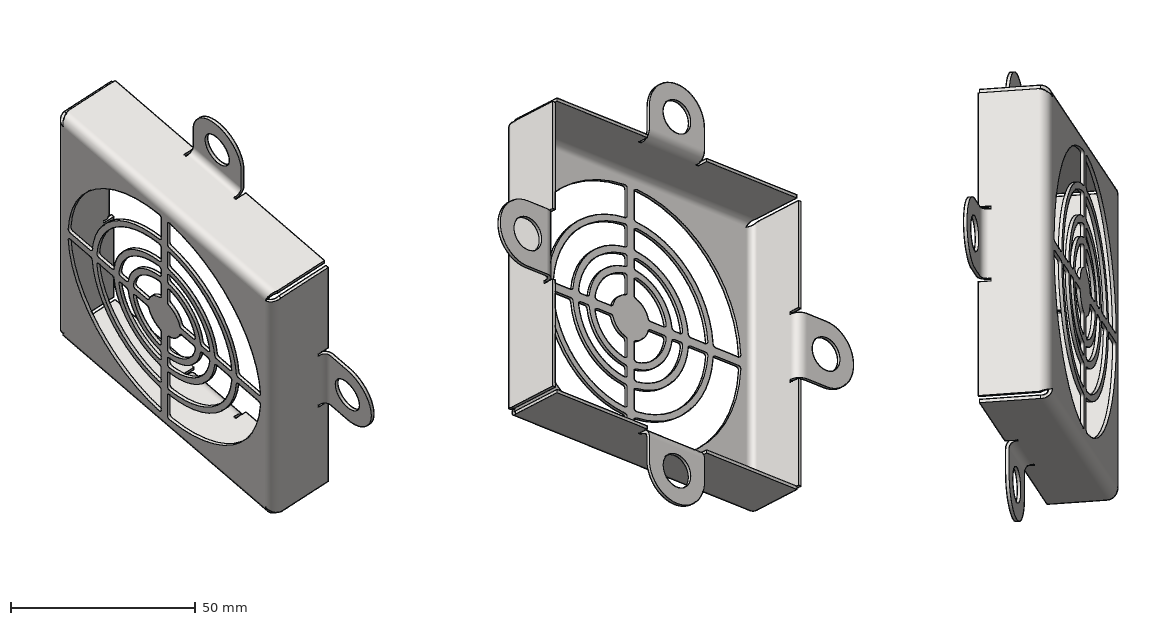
import cadquery as cq
import math

span = 128.0
box_width = 90.0
depth = 20.0

sheet = 1.0
bend_inner = 2 * sheet
bend_outer = bend_inner + sheet

end_inset = 1.5
miter_clearance = 0.05

tab_width = 20.0
hole_diameter = 10.0
relief_width = 0.8
relief_overrun = 0.5

openings = [(6.7, 13.0), (15.1, 19.0), (21.0, 28.0), (30.0, 40.0)]
spoke_width = 2.5
opening_fillet = 0.9

diagonal = math.sqrt(0.5)
half_box = box_width / 2
half_face = half_box - bend_outer
tab_radius = tab_width / 2
hole_offset = span / 2 - tab_radius
cutter_size = 2 * bend_outer
relief_depth = bend_outer + relief_overrun


def face_plate():
    """Flat front face in the XZ plane, front surface at Y = 0."""
    return cq.Workplane("XY").box(2 * half_face, sheet, 2 * half_face).translate((0, sheet / 2, 0))


def grille_opening(inner, outer):
    """Quarter-ring opening in the +X +Z quadrant, bounded by two spokes."""
    ring = cq.Workplane("XZ").circle(outer).circle(inner).extrude(-sheet)
    quadrant = cq.Workplane("XY").box(span, span, span, centered=(False, True, False))
    quadrant = quadrant.translate((spoke_width / 2, 0, spoke_width / 2))
    return ring.intersect(quadrant).edges("|Y").fillet(opening_fillet)


def wall_with_bend():
    """Top side wall, joined to the face by a quarter-round bend."""
    half_length = half_box - end_inset
    bend_y = bend_outer
    bend_z = half_face
    profile = (
        cq.Workplane("YZ")
        .moveTo(0, bend_z)
        .threePointArc((bend_y - bend_outer * diagonal, bend_z + bend_outer * diagonal), (bend_y, half_box))
        .lineTo(depth, half_box)
        .lineTo(depth, half_box - sheet)
        .lineTo(bend_y, half_box - sheet)
        .threePointArc((bend_y - bend_inner * diagonal, bend_z + bend_inner * diagonal), (sheet, bend_z))
        .close()
    )
    wall = profile.extrude(half_length, both=True)
    miter = bend_miter(half_length)
    return wall.cut(miter).cut(miter.mirror("YZ"))


def bend_miter(half_length):
    """Twisted cutter that tapers the +X bend end evenly from the wall end to the face corner.

    A quadrant around the bend axis turns by 90 degrees as it moves outwards,
    so the cut stays square to the sheet all the way round the bend.
    """
    start = half_face - miter_clearance
    return (
        cq.Workplane("YZ", origin=(start, bend_outer, half_face))
        .rect(-cutter_size, -cutter_size, centered=False)
        .twistExtrude(half_length - start, -90)
    )


def tab():
    """Top mounting tab, bent outwards flush with the rear edge of the wall."""
    bend_y = depth - bend_outer
    bend_z = half_box + bend_inner
    strip = (
        cq.Workplane("YZ")
        .moveTo(depth - relief_depth, half_box - sheet)
        .lineTo(bend_y, half_box - sheet)
        .threePointArc((bend_y + bend_outer * diagonal, bend_z - bend_outer * diagonal), (depth, bend_z))
        .lineTo(depth, hole_offset)
        .lineTo(depth - sheet, hole_offset)
        .lineTo(depth - sheet, bend_z)
        .threePointArc((bend_y + bend_inner * diagonal, bend_z - bend_inner * diagonal), (bend_y, half_box))
        .lineTo(depth - relief_depth, half_box)
        .close()
        .extrude(tab_radius, both=True)
    )
    rear = cq.Workplane("XZ", origin=(0, depth, 0)).center(0, hole_offset)
    tip = (
        rear.moveTo(-tab_radius, 0)
        .threePointArc((0, tab_radius), (tab_radius, 0))
        .close()
        .extrude(sheet)
    )
    hole = rear.circle(hole_diameter / 2).extrude(sheet)
    return strip.union(tip).cut(hole)


def side():
    """Complete top side: wall, tab reliefs and tab."""
    relief = cq.Workplane("XY").box(
        tab_width + 2 * relief_width, relief_depth, sheet, centered=(True, False, False)
    )
    relief = relief.translate((0, depth - relief_depth, half_box - sheet))
    return wall_with_bend().cut(relief).union(tab())


def turned(shape, quarter):
    """Copy of a shape turned about the Y axis by whole quarter turns."""
    return shape.rotate((0, 0, 0), (0, 1, 0), 90 * quarter)


result = face_plate()
for inner, outer in openings:
    opening = grille_opening(inner, outer)
    for quarter in range(4):
        result = result.cut(turned(opening, quarter))

top_side = side()
for quarter in range(4):
    result = result.union(turned(top_side, quarter))